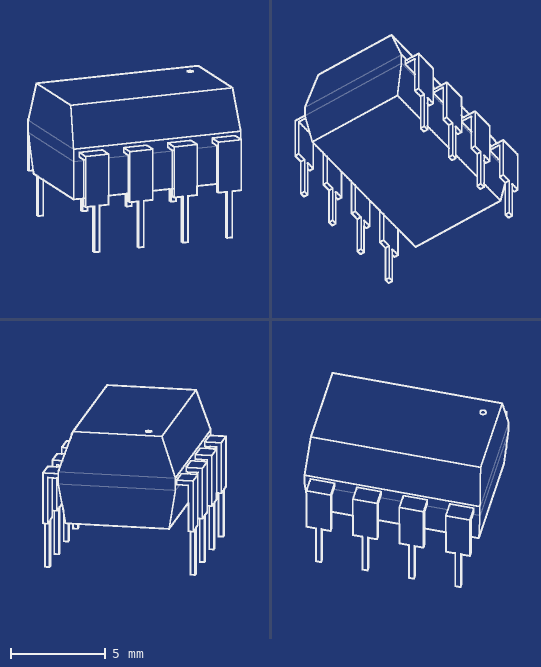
import cadquery as cq


lead_thickness = 0.25
lead_span = 8.13
lead_pitch = 2.54
leads_per_side = 4
shoulder_width = 1.32
shoulder_height = 2.79
tip_width = 0.29
tip_length = 2.54

body_width = 6.35
body_length = 9.6
body_height = 5.09
band_height = 0.67
top_width = 4.82
bottom_width = 5.6
end_length = 9.29

marker_diameter = 0.32
marker_depth = 0.1
marker_x = -1.52
marker_y = lead_pitch * (leads_per_side - 1) / 2

body_middle = shoulder_height - lead_thickness / 2
body_bottom = body_middle - body_height / 2
body_top = body_middle + body_height / 2
band_bottom = body_middle - band_height / 2
band_top = body_middle + band_height / 2


def tapered_block(lower_z, lower_size, upper_z, upper_size):
    """Block whose rectangular section changes evenly from the lower to the upper size."""
    return (
        cq.Workplane("XY")
        .workplane(offset=lower_z)
        .rect(*lower_size)
        .workplane(offset=upper_z - lower_z)
        .rect(*upper_size)
        .loft(ruled=True)
    )


def make_marker():
    """Round pin 1 marker disc."""
    return (
        cq.Workplane("XY")
        .workplane(offset=body_top - marker_depth)
        .center(marker_x, marker_y)
        .circle(marker_diameter / 2)
        .extrude(marker_depth)
    )


def make_body():
    """Moulded body with a recess for the pin 1 marker."""
    band_size = (body_width, body_length)
    lower_half = tapered_block(body_bottom, (bottom_width, end_length), band_bottom, band_size)
    band = tapered_block(band_bottom, band_size, band_top, band_size)
    upper_half = tapered_block(band_top, band_size, body_top, (top_width, end_length))
    return lower_half.union(band).union(upper_half).cut(make_marker())


def make_lead(side, y):
    """Bent lead at position y on the -X side (side = -1) or the +X side (side = 1)."""
    outer_x = side * lead_span / 2
    inner_x = outer_x - side * lead_thickness
    body_x = side * body_width / 2
    shoulder = (
        cq.Workplane("XZ", origin=(0, y, 0))
        .moveTo(outer_x, 0)
        .lineTo(outer_x, shoulder_height)
        .lineTo(body_x, shoulder_height)
        .lineTo(body_x, shoulder_height - lead_thickness)
        .lineTo(inner_x, shoulder_height - lead_thickness)
        .lineTo(inner_x, 0)
        .close()
        .extrude(shoulder_width / 2, both=True)
    )
    tip = (
        cq.Workplane("XY", origin=((outer_x + inner_x) / 2, y, 0))
        .rect(lead_thickness, tip_width)
        .extrude(-tip_length)
    )
    return shoulder.union(tip)


body = make_body()
marker = make_marker()

leads = []
for side in (-1, 1):
    for index in range(leads_per_side):
        lead_y = (index - (leads_per_side - 1) / 2) * lead_pitch
        leads.append(make_lead(side, lead_y).val())

result = cq.Compound.makeCompound([body.val(), marker.val(), *leads])